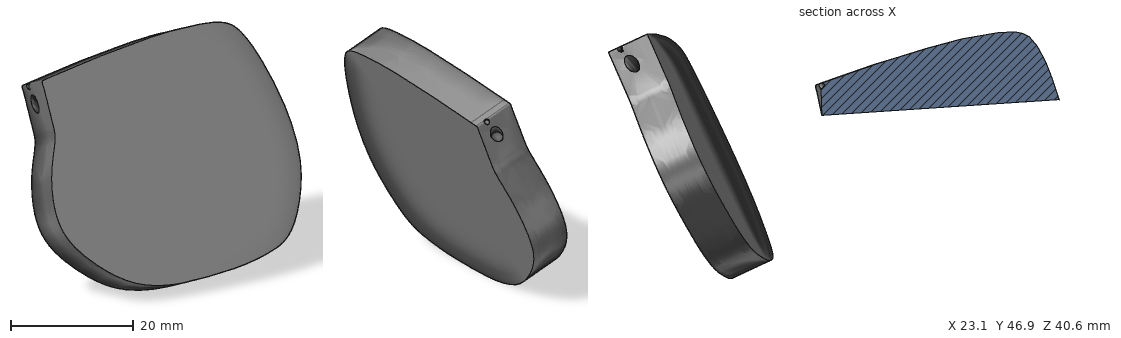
import cadquery as cq
import math

thickness = 7.1
lean_angle = 23.2
yaw_angle = 1.3

corner = (-21.2, 14.6)
top_edge_end = (-20.9, 14.8)
top_edge_start = (-19.6, 15.05)
notch_foot = (-20.75, 6.2)

rim_points = [
    (-2.55, 18.15),
    (10.5, 19.25),
    (15.8, 17.95),
    (17.25, 16.32),
    (20.0, 10.95),
    (22.75, 1.55),
    (23.1, -6.9),
    (21.5, -12.5),
    (17.4, -18.2),
    (14.4, -19.55),
    (2.05, -21.7),
    (-5.7, -21.85),
    (-11.4, -20.6),
    (-17.9, -16.4),
    (-22.8, -10.1),
    (-23.25, -3.15),
    (-22.3, 1.1),
]

notch_points = [
    (-20.95, 4.7),
    (-20.8, 5.45),
    notch_foot,
    (-20.85, 8.15),
    (-21.0, 11.05),
    (-21.2, 14.0),
    corner,
]

drill_angle = 42
drill_swing = 16
holes = [
    (2.0, 11.3, 2.8, 2.15),
    (0.85, 14.55, 1.95, 0.65),
]

lean = math.radians(lean_angle)
yaw = math.radians(yaw_angle)
normal = cq.Vector(
    math.cos(lean) * math.cos(yaw),
    math.sin(yaw),
    math.sin(lean) * math.cos(yaw),
)
along_y = cq.Vector(
    -math.cos(lean) * math.sin(yaw),
    math.cos(yaw),
    -math.sin(lean) * math.sin(yaw),
)
plate_plane = cq.Plane(origin=(0, 0, 0), xDir=along_y, normal=normal)


def make_plate():
    top_edge_direction = (top_edge_start[0] - top_edge_end[0], top_edge_start[1] - top_edge_end[1])
    outline = (
        cq.Workplane("XY")
        .moveTo(*top_edge_end)
        .lineTo(*top_edge_start)
        .spline(
            [*rim_points, *notch_points, top_edge_end],
            tangents=[top_edge_direction, top_edge_direction],
            includeCurrent=True,
        )
        .close()
    )
    return outline.extrude(thickness)


def make_drill(diameter, height, from_front, depth):
    wall_fraction = (height - notch_foot[1]) / (corner[1] - notch_foot[1])
    wall_x = notch_foot[0] + wall_fraction * (corner[0] - notch_foot[0])
    angle = math.radians(drill_angle)
    swing = math.radians(drill_swing)
    axis = cq.Vector(
        math.sin(angle),
        -math.cos(angle) * math.cos(swing),
        math.cos(angle) * math.sin(swing),
    )
    run_out = 2 * diameter
    start = cq.Vector(wall_x, height, from_front) - axis * run_out
    return cq.Solid.makeCylinder(diameter / 2, run_out + depth, start, axis)


plate = make_plate()
for hole in holes:
    plate = plate.cut(cq.Workplane(obj=make_drill(*hole)))

result = cq.Workplane(obj=plate.val().moved(cq.Location(plate_plane)))